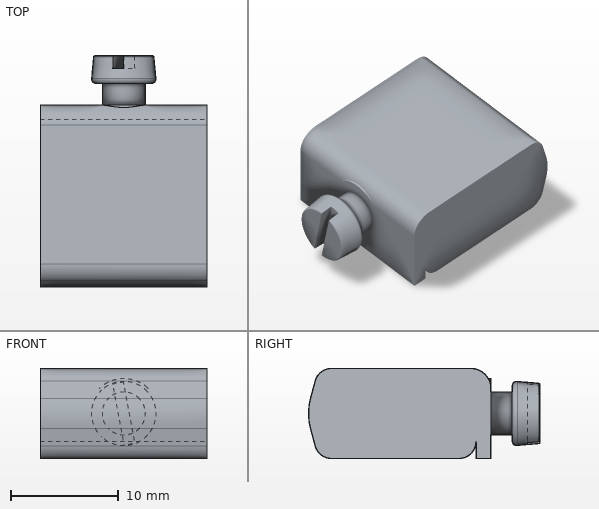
import cadquery as cq
import math

length = 21.52
width = 15.5
height = 8.4
half_height = height / 2

body_back = 16.95
back_radius = 1.87
lip_thickness = 1.38
lip_radius = 1.6
nose_radius = 5.38
nose_slope = math.radians(15)
nose_arc_half_height = nose_radius * math.sin(nose_slope)
shoulder_radius = 1.6

collar_radius = 3.25
collar_thickness = 1.38
neck_radius = 2.0
head_front = 18.94
head_front_radius = 3.03
head_back_radius = 2.8
head_front_fillet = 0.43
head_back_fillet = 0.15

slot_width = 1.01
slot_depth = 1.18
slot_angle = 10.6


def make_body():
    """Rounded block with a crowned nose and a thin lip along the lower back edge."""
    arc_end_y = nose_radius * (1 - math.cos(nose_slope))
    shoulder_center_z = half_height - shoulder_radius
    flat_end_z = shoulder_center_z + shoulder_radius * math.sin(nose_slope)
    flat_end_y = arc_end_y + (flat_end_z - nose_arc_half_height) * math.tan(nose_slope)
    shoulder_center_y = flat_end_y + shoulder_radius * math.cos(nose_slope)
    middle_angle = (math.pi / 2 + nose_slope) / 2
    shoulder_mid_y = shoulder_center_y - shoulder_radius * math.cos(middle_angle)
    shoulder_mid_z = shoulder_center_z + shoulder_radius * math.sin(middle_angle)

    lip_front = body_back - lip_thickness
    round_center_z = half_height - back_radius
    diagonal = back_radius * math.sqrt(0.5)
    lip_round_center_z = lip_radius - half_height
    lip_diagonal = lip_radius * math.sqrt(0.5)

    profile = (
        cq.Workplane("YZ", origin=(-width / 2, 0, 0))
        .moveTo(arc_end_y, -nose_arc_half_height)
        .threePointArc((0, 0), (arc_end_y, nose_arc_half_height))
        .lineTo(flat_end_y, flat_end_z)
        .threePointArc((shoulder_mid_y, shoulder_mid_z), (shoulder_center_y, half_height))
        .lineTo(body_back - back_radius, half_height)
        .threePointArc(
            (body_back - back_radius + diagonal, round_center_z + diagonal),
            (body_back, round_center_z),
        )
        .lineTo(body_back, -half_height)
        .lineTo(lip_front, -half_height)
        .lineTo(lip_front, lip_round_center_z)
        .threePointArc(
            (lip_front - lip_radius + lip_diagonal, lip_round_center_z - lip_diagonal),
            (lip_front - lip_radius, -half_height),
        )
        .lineTo(shoulder_center_y, -half_height)
        .threePointArc((shoulder_mid_y, -shoulder_mid_z), (flat_end_y, -flat_end_z))
        .close()
    )
    return profile.extrude(width)


def make_head():
    """Tapered round head with rounded rims and a slot across its back face."""
    head = (
        cq.Workplane("XY")
        .moveTo(0, head_front)
        .lineTo(head_front_radius, head_front)
        .lineTo(head_back_radius, length)
        .lineTo(0, length)
        .close()
        .revolve(360, (0, 0, 0), (0, 1, 0))
    )
    head = head.faces("<Y").edges().fillet(head_front_fillet)
    head = head.faces(">Y").edges().fillet(head_back_fillet)

    slot_length = 2 * head_front_radius
    slot = (
        cq.Workplane("XY")
        .box(slot_width, slot_depth, slot_length)
        .rotate((0, 0, 0), (0, 1, 0), -slot_angle)
        .translate((0, length - slot_depth / 2, 0))
    )
    return head.cut(slot)


def make_rod(radius, start, end):
    """Cylinder along Y between two positions."""
    return cq.Workplane("XZ", origin=(0, start, 0)).circle(radius).extrude(start - end)


collar = make_rod(collar_radius, body_back - collar_thickness, body_back)
neck = make_rod(neck_radius, body_back - collar_thickness, head_front + head_front_fillet)

result = make_body().union(collar).union(neck).union(make_head())